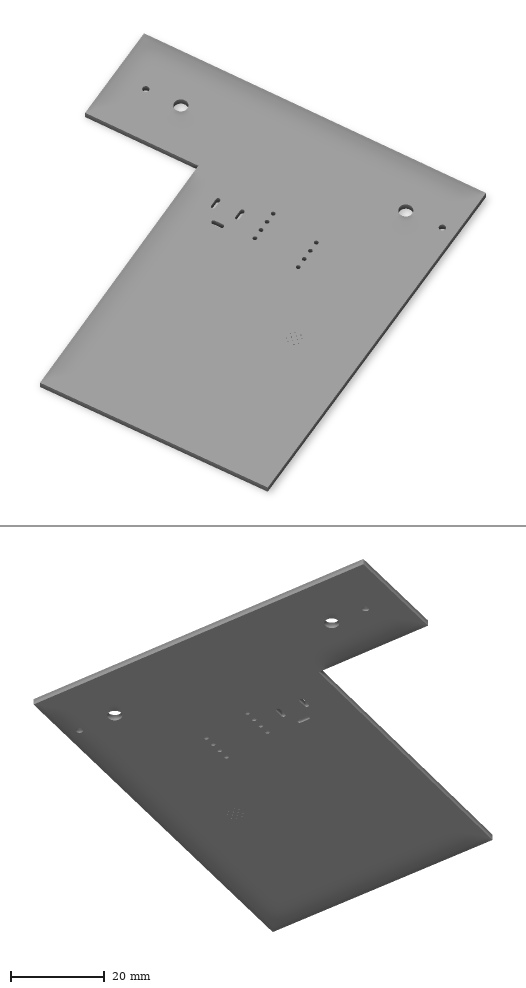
import cadquery as cq

width = 84.5
height = 92.0
thickness = 1.5

band_bottom = height - 24.75
body_left_top = 28.0
body_left_bottom = 28.4
bottom_edge_rise = 0.4

mount_row_y = height - 12.7
mount_diameter = 3.2
mount_xs = (16.6, 72.1)
locating_diameter = 1.6
locating_xs = (7.9, 81.1)

pin_diameter = 1.0
pin_count = 4
pin_row_span = 7.6
pin_row_centers = ((48.2, height - 31.6), (60.1, height - 33.6))

slot_length = 3.0
slot_width = 1.0
upright_slot_xs = (36.25, 42.2)
upright_slot_y = height - 31.6
level_slot_center = (39.5, height - 36.2)

vent_diameter = 0.2
vent_pitch = 0.7
vent_steps = 2
vent_center = (69.1, height - 54.3)


def make_plate():
    """L-shaped board with slightly tilted lower and left body edges."""
    outline = [
        (body_left_bottom, 0),
        (width, bottom_edge_rise),
        (width, height),
        (0, height),
        (0, band_bottom),
        (body_left_top, band_bottom),
    ]
    return cq.Workplane("XY").polyline(outline).close().extrude(thickness)


def make_holes(points, diameter):
    return cq.Workplane("XY").pushPoints(points).circle(diameter / 2).extrude(thickness)


def make_slots(points, angle):
    return cq.Workplane("XY").pushPoints(points).slot2D(slot_length, slot_width, angle).extrude(thickness)


def pin_points(center):
    x, y = center
    pitch = pin_row_span / (pin_count - 1)
    return [(x, y - pin_row_span / 2 + i * pitch) for i in range(pin_count)]


def vent_points():
    """Grid points whose row and column differ in parity, giving a checkerboard."""
    x, y = vent_center
    steps = range(-vent_steps, vent_steps + 1)
    return [
        (x + column * vent_pitch, y + row * vent_pitch)
        for row in steps
        for column in steps
        if (row + column) % 2 == 1
    ]


result = make_plate()

result = result.cut(make_holes([(x, mount_row_y) for x in mount_xs], mount_diameter))
result = result.cut(make_holes([(x, mount_row_y) for x in locating_xs], locating_diameter))

for row_center in pin_row_centers:
    result = result.cut(make_holes(pin_points(row_center), pin_diameter))

result = result.cut(make_slots([(x, upright_slot_y) for x in upright_slot_xs], 90))
result = result.cut(make_slots([level_slot_center], 0))

result = result.cut(make_holes(vent_points(), vent_diameter))